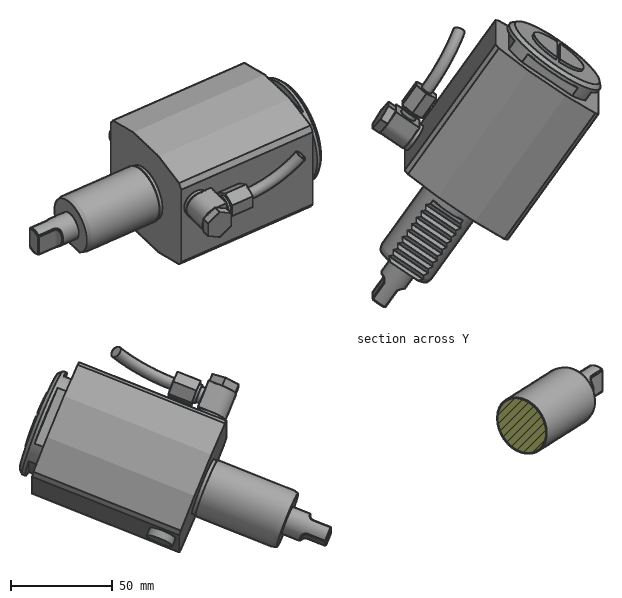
import cadquery as cq
import math


body_width = 62.0
body_height = 62.0
body_length = 78.5
top_flat_width = 22.3
roof_slope = 15.0
corner_setback = 2.0
corner_drop = 2.9

flange_dia = 55.0
collar_across_flats = 46.0
collar_length = 5.0
flange_length = 3.8
flange_chamfer = 2.0
face_dia = 30.0
face_slot_width = 1.7

shank_dia = 30.0
shank_length = 45.0
shank_nose_length = 2.4
shank_nose_step = 0.65
neck_dia = 29.1
neck_length = 2.0
rack_start = 7.0
rack_flat_depth = 12.0
tooth_depth = 1.3
tooth_pitch = 4.0
first_tooth_gap = 11.2
tooth_gap_count = 9

tang_dia = 14.5
tang_width = 8.0
tang_end = 67.0
tang_shoulder = 54.8
tang_root_radius = 2.5
tang_edge_chamfer = 0.5

total_length = 155.65
face_height = total_length - tang_end - body_length - collar_length - flange_length

fitting_y = 8.9
fitting_z = 11.0
pin_dia = 13.8
pin_length = 4.2
total_width = 86.85
fitting_end_x = total_width - body_width / 2 - pin_length
elbow_collar_dia = 14.5
elbow_collar_length = 2.2
elbow_dia = 15.0
elbow_hex_across_flats = 14.0
elbow_hex_length = 4.3

branch_x = 40.35
branch_neck_dia = 8.2
branch_ring_dia = 9.8
branch_ring_start = 9.6
nut_start = 11.0
nut_end = 23.4
nut_across_flats = 12.0
hose_dia = 6.0
hose_bend_radius = 45.0
hose_bend_angle = 44.0
hose_lean = 10.0


def cylinder_y(dia, start, end, x=0.0, z=0.0):
    """Cylinder along Y from start to end."""
    return cq.Workplane("XZ", origin=(x, start, z)).circle(dia / 2).extrude(start - end)


def cylinder_x(dia, start, end):
    """Cylinder on the side-fitting axis from start to end."""
    return cq.Workplane("YZ", origin=(start, fitting_y, fitting_z)).circle(dia / 2).extrude(end - start)


def hexagon(plane, across_flats):
    """Hexagon with a corner pointing to +Z."""
    across_corners = across_flats / math.cos(math.pi / 6)
    return plane.transformed(rotate=(0, 0, 90)).polygon(6, across_corners)


def make_body():
    half_width = body_width / 2
    half_height = body_height / 2
    flat = top_flat_width / 2
    shoulder_x = half_width - corner_setback
    shoulder_z = half_height - (shoulder_x - flat) * math.tan(math.radians(roof_slope))
    quarter = [(flat, half_height), (shoulder_x, shoulder_z), (half_width, shoulder_z - corner_drop)]
    right_side = quarter + [(x, -z) for x, z in reversed(quarter)]
    outline = right_side + [(-x, z) for x, z in reversed(right_side)]
    return cq.Workplane("XZ").polyline(outline).close().extrude(-body_length)


def make_collar():
    flange_start = body_length + collar_length
    flange_end = flange_start + flange_length
    square = cq.Workplane("XY").box(collar_across_flats, collar_length, collar_across_flats)
    square = square.translate((0, body_length + collar_length / 2, 0))
    collar = cylinder_y(flange_dia, body_length, flange_start).intersect(square)
    flange = cylinder_y(flange_dia, flange_start, flange_end).faces(">Y").chamfer(flange_chamfer)
    face = cylinder_y(face_dia, flange_end, flange_end + face_height)
    slot = cq.Workplane("XY").box(face_slot_width, face_height, face_dia)
    face = face.cut(slot.translate((0, flange_end + face_height / 2, 0)))
    return collar.union(flange).union(face)


def make_rack_cutter():
    """Flat and row of V grooves below the shank."""
    outline = [(-rack_start, -shank_dia), (-rack_start, -rack_flat_depth)]
    for index in range(tooth_gap_count):
        root_y = -first_tooth_gap - index * tooth_pitch
        outline.append((root_y + tooth_pitch / 2, -rack_flat_depth))
        outline.append((root_y, tooth_depth - rack_flat_depth))
    last_tip_y = -first_tooth_gap - (tooth_gap_count - 0.5) * tooth_pitch
    outline += [(last_tip_y, -rack_flat_depth), (last_tip_y, -shank_dia)]
    return cq.Workplane("YZ").polyline(outline).close().extrude(shank_dia / 2, both=True)


def make_shank():
    radius = shank_dia / 2
    profile = [
        (0, 0),
        (neck_dia / 2, 0),
        (neck_dia / 2, -neck_length),
        (radius, -neck_length),
        (radius, -shank_length + shank_nose_length),
        (radius - shank_nose_step, -shank_length),
        (0, -shank_length),
    ]
    shank = cq.Workplane("XY").polyline(profile).close().revolve(360, (0, 0, 0), (0, 1, 0))
    return shank.cut(make_rack_cutter())


def make_tang():
    tang = cylinder_y(tang_dia, -tang_end, -shank_length)
    flat_x = tang_width / 2
    shoulder = -tang_shoulder
    cutter = (
        cq.Workplane("XY")
        .moveTo(flat_x, -tang_end)
        .lineTo(flat_x, shoulder - tang_root_radius)
        .radiusArc((flat_x + tang_root_radius, shoulder), tang_root_radius)
        .lineTo(tang_dia, shoulder)
        .lineTo(tang_dia, -tang_end)
        .close()
        .extrude(tang_dia, both=True)
    )
    tang = tang.cut(cutter).cut(cutter.mirror("YZ"))
    for side in (-1, 1):
        middle_of_flat = (side * flat_x, -(tang_shoulder + tang_end) / 2, 0)
        flat = tang.faces(cq.selectors.NearestToPointSelector(middle_of_flat))
        tang = flat.edges("|Y").chamfer(tang_edge_chamfer)
    return tang.faces("<Y").chamfer(tang_edge_chamfer)


def make_pin():
    return cylinder_x(pin_dia, -body_width / 2 - pin_length, -body_width / 2)


def make_elbow():
    side_x = body_width / 2
    elbow_start = side_x + elbow_collar_length
    hex_start = fitting_end_x - elbow_hex_length
    elbow_length = hex_start - elbow_start
    middle_x = elbow_start + elbow_length / 2
    block_depth = elbow_collar_dia / 2
    collar = cylinder_x(elbow_collar_dia, side_x, elbow_start)
    barrel = cylinder_x(elbow_dia, elbow_start, hex_start)
    block = cq.Workplane("XY").box(elbow_length, block_depth, elbow_dia)
    block = block.translate((middle_x, fitting_y + block_depth / 2, fitting_z))
    hex_plane = cq.Workplane("YZ", origin=(hex_start, fitting_y, fitting_z))
    head = hexagon(hex_plane, elbow_hex_across_flats).extrude(elbow_hex_length)
    trim = cq.Workplane("XY").box(elbow_length, elbow_dia, elbow_dia)
    trim = trim.translate((middle_x, fitting_y + block_depth - elbow_dia / 2, fitting_z))
    return collar.union(barrel.union(block).intersect(trim)).union(head)


def make_branch():
    ring_y = fitting_y + branch_ring_start
    nut_y = fitting_y + nut_start
    hose_y = fitting_y + nut_end
    neck = cylinder_y(branch_neck_dia, fitting_y, ring_y, branch_x, fitting_z)
    ring = cylinder_y(branch_ring_dia, ring_y, nut_y, branch_x, fitting_z)
    nut_plane = cq.Workplane("XZ", origin=(branch_x, nut_y, fitting_z))
    nut = hexagon(nut_plane, nut_across_flats).extrude(nut_start - nut_end)
    hose = (
        cq.Workplane("XZ", origin=(branch_x, hose_y, fitting_z))
        .circle(hose_dia / 2)
        .revolve(hose_bend_angle, (0, hose_bend_radius), (1, hose_bend_radius))
    )
    hose = hose.rotate((branch_x, 0, fitting_z), (branch_x, 1, fitting_z), hose_lean)
    return neck.union(ring).union(nut).union(hose)


result = make_body()
for feature in (make_collar(), make_shank(), make_tang(), make_pin(), make_elbow(), make_branch()):
    result = result.union(feature)